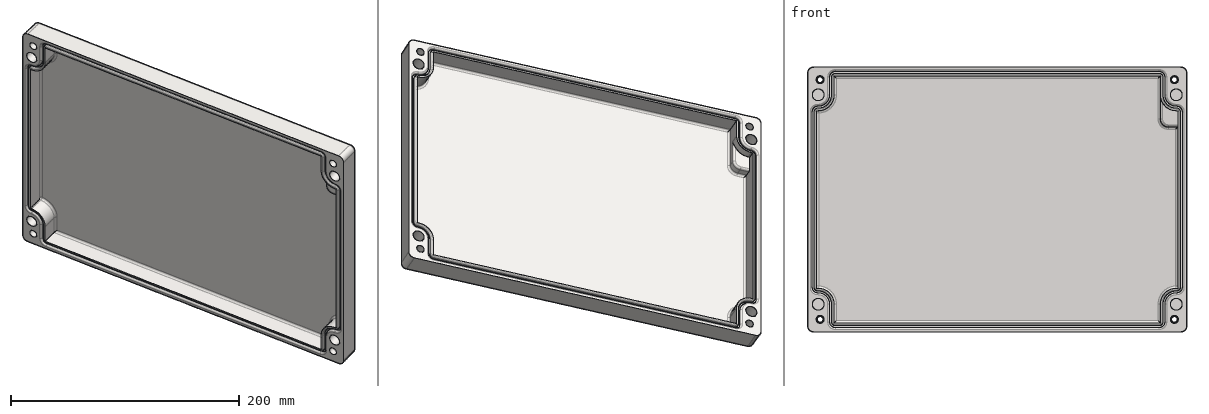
import cadquery as cq
import math

WIDTH = 332.0
DEPTH = 20.3
HEIGHT = 232.0
CORNER_RADIUS = 5.3
BACK_FILLET = 2.0
DRAFT_ANGLE = 1.0
FLOOR_THICKNESS = 3.5
POCKET_DEPTH = DEPTH - FLOOR_THICKNESS

SCREW_HOLE_X = 155.0
SCREW_HOLE_Z = 105.0
SCREW_HOLE_DIAMETER = 5.0
SCREW_BORE_DIAMETER = 7.0
BLIND_HOLE_X = 156.7
BLIND_HOLE_Z = 91.5
BLIND_HOLE_DIAMETER = 10.3
POST_HOLE_DEPTH = POCKET_DEPTH

RIM_INSET = 2.3
RIM_CORNER_RADIUS = 6.5
POST_RADIUS = 8.3

GROOVE_START = 1.5
GROOVE_END = 3.3
GROOVE_DEPTH = 2.5
MOUTH_FILLET = GROOVE_START
LIP_FILLET = 1.0
WALL_INSET = 5.5
FLOOR_FILLET = 2.0

PAD_HEIGHT = 9.3
PAD_BOTTOM_Z = 63.5
PAD_CORNER_RADIUS = 7.0
PAD_EDGE_FILLET = 2.0


def plane_behind_face(distance=0.0):
    """XZ workplane `distance` behind the open face; a negative extrusion runs toward +Y."""
    return cq.Workplane("XZ", origin=(0, distance - DEPTH / 2, 0))


def corner_arc(x, z, radius):
    """Start, middle and end of the arc that rounds the outer corner (x, z) of an upper right quarter."""
    setback = radius * (1 - math.sqrt(0.5))
    return (x, z - radius), (x - setback, z - setback), (x - radius, z)


def quarter_arcs(inset, corner_radius):
    """The three arcs of the upper right quarter of the rim, in counter-clockwise order."""
    side_x = WIDTH / 2 - RIM_INSET - inset
    end_z = HEIGHT / 2 - RIM_INSET - inset
    post_radius = POST_RADIUS + inset
    post_x = BLIND_HOLE_X - post_radius
    post_z = BLIND_HOLE_Z - post_radius
    diagonal = post_radius * math.sqrt(0.5)
    post_arc = (
        (BLIND_HOLE_X, post_z),
        (BLIND_HOLE_X - diagonal, BLIND_HOLE_Z - diagonal),
        (post_x, BLIND_HOLE_Z),
    )
    side_corner = corner_arc(side_x, post_z, corner_radius)
    end_corner = corner_arc(post_x, end_z, corner_radius)
    return [side_corner, post_arc, end_corner]


def rim_prism(inset, corner_radius, depth):
    """Prism from the open face back to `depth`, bounded by the rim outline moved inward by `inset`."""
    arcs = []
    for sign_x, sign_z in ((1, 1), (-1, 1), (-1, -1), (1, -1)):
        quarter = [
            [(sign_x * x, sign_z * z) for x, z in arc]
            for arc in quarter_arcs(inset, corner_radius)
        ]
        if sign_x * sign_z < 0:
            quarter = [arc[::-1] for arc in reversed(quarter)]
        arcs += quarter

    outline = plane_behind_face().moveTo(*arcs[-1][-1])
    for start, middle, end in arcs:
        outline = outline.lineTo(*start)
        if start != end:
            outline = outline.threePointArc(middle, end)
    return outline.close().extrude(-depth)


def plate():
    """Solid plate, drafted narrower toward its rounded back."""
    outline = cq.Sketch().rect(WIDTH, HEIGHT).vertices().fillet(CORNER_RADIUS)
    body = plane_behind_face().placeSketch(outline).extrude(-DEPTH, taper=DRAFT_ANGLE)
    return body.faces(">Y").edges().fillet(BACK_FILLET)


def groove():
    """Seal groove that follows the rim outline."""
    outer = rim_prism(GROOVE_START, RIM_CORNER_RADIUS - GROOVE_START, GROOVE_DEPTH)
    inner = rim_prism(GROOVE_END, RIM_CORNER_RADIUS - GROOVE_END, GROOVE_DEPTH)
    return outer.cut(inner)


def front_loops(body):
    """Edge loops on the open face, from the innermost to the plate edge."""
    return sorted(body.faces("<Y").wires().vals(), key=lambda loop: loop.BoundingBox().xmax)


def grooved_plate():
    """Plate with the seal groove; its outer mouth edge and the lip inside it are rounded."""
    body = plate().cut(groove())
    lip_edge = front_loops(body)[0]
    body = body.newObject(lip_edge.Edges()).fillet(LIP_FILLET)
    mouth_edge = front_loops(body)[1]
    return body.newObject(mouth_edge.Edges()).fillet(MOUTH_FILLET)


def pad():
    """Raised pad, flush with the post wall and running into the side of the plate."""
    left = BLIND_HOLE_X - POST_RADIUS - WALL_INSET
    right = WIDTH / 2 - RIM_INSET
    length = right - left
    height = BLIND_HOLE_Z - PAD_BOTTOM_Z
    outline = cq.Sketch().rect(length, height).vertices("<X and <Y").fillet(PAD_CORNER_RADIUS)
    block = (
        plane_behind_face(POCKET_DEPTH)
        .center(left + length / 2, PAD_BOTTOM_Z + height / 2)
        .placeSketch(outline)
        .extrude(PAD_HEIGHT)
    )
    return block.faces("<Y").edges("<X or <Z").fillet(PAD_EDGE_FILLET)


def pocket():
    """Sharp-cornered pocket inside the rim, less the pad, with a fillet around its floor."""
    body = rim_prism(WALL_INSET, 0, POCKET_DEPTH).cut(pad())
    return body.faces(">Y").edges().fillet(FLOOR_FILLET)


def post_holes(x, z, diameter, depth):
    """Round holes from the open face, one in each corner post."""
    centres = [(sign_x * x, sign_z * z) for sign_x in (1, -1) for sign_z in (1, -1)]
    return plane_behind_face().pushPoints(centres).circle(diameter / 2).extrude(-depth)


result = (
    grooved_plate()
    .cut(pocket())
    .cut(post_holes(SCREW_HOLE_X, SCREW_HOLE_Z, SCREW_HOLE_DIAMETER, DEPTH))
    .cut(post_holes(SCREW_HOLE_X, SCREW_HOLE_Z, SCREW_BORE_DIAMETER, POST_HOLE_DEPTH))
    .cut(post_holes(BLIND_HOLE_X, BLIND_HOLE_Z, BLIND_HOLE_DIAMETER, POST_HOLE_DEPTH))
)